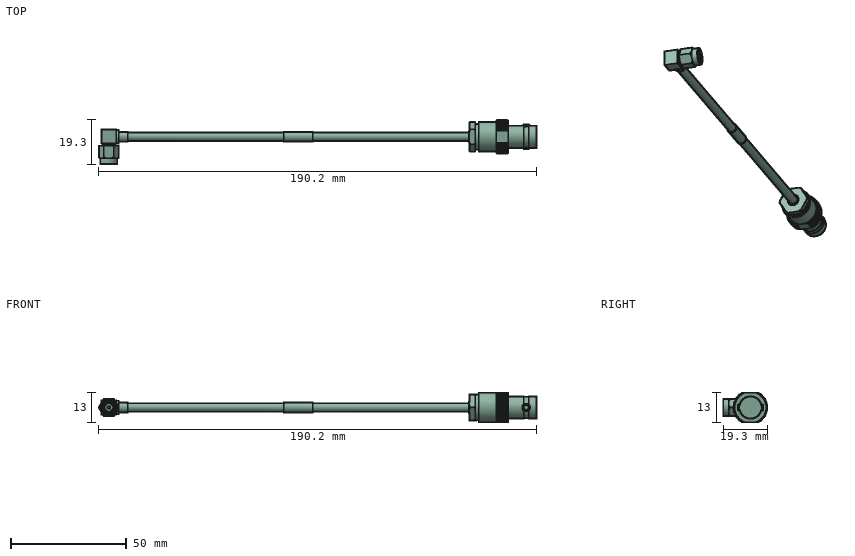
import cadquery as cq
import math


hex_sides = 6
flats_to_corners = 1 / math.cos(math.pi / hex_sides)

total_length = 190.2
total_depth = 19.3
total_height = 12.95

cable_radius = 1.9
ferrule_radius = 2.22
ferrule_length = 3.8
label_radius = 2.2
label_start = 76.0
label_length = 12.7

block_size = 6.5
block_chamfer = 0.5
collar_radius = 3.0
collar_end = 4.35
neck_radius = 2.3
neck_recess = 0.7
socket_radius = 1.85
socket_depth = 0.9

pin_radius = 0.635
pin_recess = 0.5
pin_seat_depth = 2.0

nut_flats = 7.5
nut_corners = nut_flats * flats_to_corners
nut_end_radius = nut_flats / 2
nut_length = 8.1
nut_hex_length = 5.6
nut_back_chamfer = 0.15
nut_front_chamfer = 0.5
nut_wall = 1.5
thread_radius = 2.9
thread_chamfer = 0.4

jack_end = total_length - nut_corners / 2
jack_radius = total_height / 2
jack_length = 25.2
jack_back = jack_end - jack_length
barrel_radius = 4.87
barrel_length = 12.4
lug_setback = 4.55
lug_radius = 1.1
lug_reach = 5.5
lug_pad_radius = 1.7
lug_pad_height = 0.1
lug_pad_reach = barrel_radius + lug_pad_height
band_width = 2.3
band_depth = 0.1

ring_radius = 7.4
ring_width = 5.15
ring_chamfer = 0.5
knurl_count = 72
knurl_depth = 0.5

gland_flats = 11.3
gland_corners = gland_flats * flats_to_corners
gland_hex_width = 2.6
gland_length = 4.0
gland_hex_back = jack_back - gland_length
gland_chamfer = 0.4
boss_radius = 2.45
boss_length = 0.35

sma_tip = ring_radius - total_depth
sma_nut_back = sma_tip + nut_length
neck_end = sma_tip + neck_recess
socket_floor = neck_end + socket_depth
pin_tip = sma_tip + pin_recess
pin_root = socket_floor + pin_seat_depth


def rod_x(radius, start, end):
    """Round bar along X between two stations."""
    return cq.Workplane("YZ").workplane(offset=start).circle(radius).extrude(end - start)


def rod_y(radius, start, end):
    """Round bar toward -Y, from the station start to the lower station end."""
    return cq.Workplane("XZ").workplane(offset=-start).circle(radius).extrude(start - end)


def make_elbow():
    """Square block with a collar for the cable and a hollow neck for the SMA nut."""
    block = cq.Workplane("XY").box(block_size, block_size, block_size)
    block = block.faces("<Y").chamfer(block_chamfer)
    elbow = block.union(rod_x(collar_radius, 0, collar_end))
    elbow = elbow.union(rod_y(neck_radius, 0, neck_end))
    elbow = elbow.cut(rod_y(socket_radius, socket_floor, neck_end))
    return elbow.cut(rod_y(pin_radius, pin_root, socket_floor))


def make_sma_nut():
    """Hexagon with flats facing +Z and -Z, ending in a round nose."""
    hexagon = (
        cq.Workplane("XZ").workplane(offset=-sma_nut_back)
        .polygon(hex_sides, nut_corners).extrude(nut_hex_length)
    )
    hex_end = sma_nut_back - nut_hex_length
    envelope = rod_y(nut_corners / 2, sma_nut_back, hex_end)
    envelope = envelope.faces(">Y").chamfer(nut_back_chamfer)
    envelope = envelope.faces("<Y").chamfer(nut_front_chamfer)
    nut = hexagon.intersect(envelope).union(rod_y(nut_end_radius, hex_end, sma_tip))
    nut = nut.cut(rod_y(neck_radius, sma_nut_back, sma_tip))
    nut = nut.cut(rod_y(thread_radius, sma_nut_back - nut_wall, sma_tip))
    thread_mouth = nut.faces("<Y").edges(cq.selectors.RadiusNthSelector(0))
    return thread_mouth.chamfer(thread_chamfer)


def make_sleeve(radius, start, length):
    """Tube fitted over the cable."""
    return rod_x(radius, start, start + length).cut(rod_x(cable_radius, start, start + length))


def make_gland():
    """Hexagonal gland nut with a round neck and a small boss around the cable."""
    hex_front = gland_hex_back + gland_hex_width
    hexagon = (
        cq.Workplane("YZ").workplane(offset=gland_hex_back)
        .polygon(hex_sides, gland_corners).extrude(gland_hex_width)
    )
    envelope = rod_x(gland_corners / 2, gland_hex_back, hex_front)
    envelope = envelope.faces("<X or >X").chamfer(gland_chamfer)
    gland = hexagon.intersect(envelope)
    gland = gland.union(rod_x(gland_flats / 2, hex_front, jack_back))
    boss_back = gland_hex_back - boss_length
    gland = gland.union(rod_x(boss_radius, boss_back, gland_hex_back))
    return gland.cut(rod_x(cable_radius, boss_back, jack_back))


def make_jack():
    """Stepped round body with a shallow band and two bayonet lugs on round pads."""
    barrel_start = jack_end - barrel_length
    ring_back = barrel_start - ring_width
    lug_station = jack_end - lug_setback
    jack = rod_x(jack_radius, jack_back, ring_back)
    jack = jack.union(rod_x(barrel_radius, ring_back, jack_end))
    band_start = lug_station - band_width / 2
    band_end = lug_station + band_width / 2
    band = rod_x(barrel_radius, band_start, band_end)
    jack = jack.cut(band.cut(rod_x(barrel_radius - band_depth, band_start, band_end)))
    lugs = rod_y(lug_radius, lug_reach, -lug_reach)
    lugs = lugs.union(rod_y(lug_pad_radius, lug_pad_reach, -lug_pad_reach))
    return jack.union(lugs.translate((lug_station, 0, 0)))


def make_ring_nut():
    """Knurled ring with two flats, facing +Z and -Z."""
    front = jack_end - barrel_length
    back = front - ring_width
    points = []
    for step in range(2 * knurl_count):
        radius = ring_radius - knurl_depth * (step % 2)
        angle = math.pi * step / knurl_count
        points.append((radius * math.cos(angle), radius * math.sin(angle)))
    ring = cq.Workplane("YZ").workplane(offset=back).polyline(points).close().extrude(ring_width)
    envelope = rod_x(ring_radius, back, front).faces("<X or >X").chamfer(ring_chamfer)
    slab = (
        cq.Workplane("XY").box(ring_width, 2 * ring_radius, total_height)
        .translate(((back + front) / 2, 0, 0))
    )
    return ring.intersect(envelope).intersect(slab).cut(rod_x(barrel_radius, back, front))


elbow = make_elbow()
sma_nut = make_sma_nut()
sma_pin = rod_y(pin_radius, pin_root, pin_tip)
cable = rod_x(cable_radius, collar_end, jack_back)
ferrule = make_sleeve(ferrule_radius, collar_end, ferrule_length)
label = make_sleeve(label_radius, label_start, label_length)
gland = make_gland()
jack = make_jack()
ring_nut = make_ring_nut()

result = cq.Compound.makeCompound([
    elbow.val(),
    sma_nut.val(),
    sma_pin.val(),
    cable.val(),
    ferrule.val(),
    label.val(),
    gland.val(),
    jack.val(),
    ring_nut.val(),
])